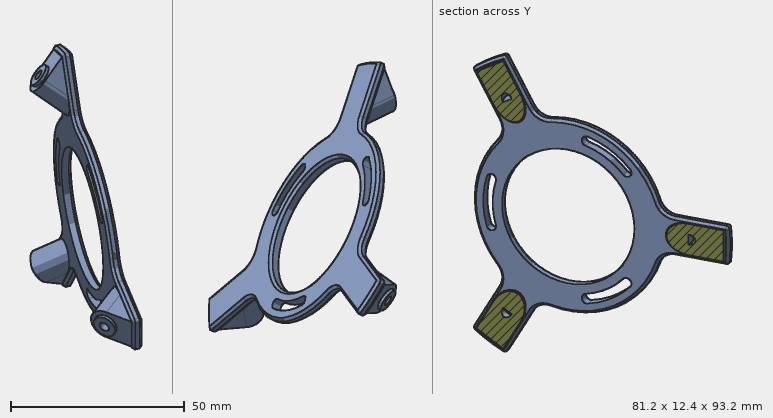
import cadquery as cq
import math

plate_thickness = 3.0
ring_radius = 30.0
bore_radius = 21.0
edge_chamfer = 0.8

arm_count = 3
arm_pitch = 360 / arm_count
overall_length = 93.2
arm_width = 12.0
arm_corner_radius = 0.9
neck_radius = 5.6

corner_centre_z = arm_width / 2 - arm_corner_radius
corner_centre_x = (
    overall_length / 2 - arm_corner_radius + corner_centre_z * math.cos(math.radians(arm_pitch))
) / math.sin(math.radians(arm_pitch))
arm_reach = math.hypot(corner_centre_x, corner_centre_z) + arm_corner_radius

slot_radius = 25.4
slot_width = 3.0
slot_half_angle = 16.8

boss_tilt = 45
boss_diameter = 10.0
boss_toe = 49.75
boss_depth = 12.4
collar_diameter = 7.0
collar_height = 1.0
hole_diameter = 3.0
hole_depth = 8.9

end_face_length = (boss_depth - plate_thickness) / math.sin(math.radians(boss_tilt))
axis_from_toe = end_face_length - boss_diameter / 2
post_length = end_face_length * math.tan(math.radians(boss_tilt))


def turned(shape, angle):
    """The shape turned about the ring axis, from +X towards +Z."""
    return shape.rotate((0, 0, 0), (0, -1, 0), angle)


def polar(radius, angle):
    """Point at a radius and an angle in degrees in the plane of the ring."""
    return (radius * math.cos(math.radians(angle)), radius * math.sin(math.radians(angle)))


def arm():
    """Arm along +X with an end concentric with the ring and a root flared by concave arcs."""
    half_width = arm_width / 2
    centre_height = half_width + neck_radius
    centre_distance = ring_radius + neck_radius
    arm_side_x = math.sqrt(arm_reach**2 - half_width**2)
    neck_x = math.sqrt(centre_distance**2 - centre_height**2)
    neck_angle = math.degrees(math.asin(centre_height / centre_distance))
    ring_x, ring_z = polar(ring_radius, neck_angle)
    mid_angle = (neck_angle + 90) / 2
    mid_x = neck_x - neck_radius * math.cos(math.radians(mid_angle))
    mid_z = centre_height - neck_radius * math.sin(math.radians(mid_angle))
    return (
        cq.Workplane("XZ")
        .moveTo(ring_x, -ring_z)
        .threePointArc((mid_x, -mid_z), (neck_x, -half_width))
        .lineTo(arm_side_x, -half_width)
        .threePointArc((arm_reach, 0), (arm_side_x, half_width))
        .lineTo(neck_x, half_width)
        .threePointArc((mid_x, mid_z), (ring_x, ring_z))
        .lineTo(0, 0)
        .close()
        .extrude(plate_thickness)
        .edges("|Y")
        .edges(">X")
        .fillet(arm_corner_radius)
    )


def plate():
    """Ring and arms with chamfered outer edges, and a central bore chamfered at the rear."""
    body = cq.Workplane("XZ").circle(ring_radius).extrude(plate_thickness)
    for index in range(arm_count):
        body = body.union(turned(arm(), index * arm_pitch))
    body = body.faces("<Y or >Y").edges().chamfer(edge_chamfer)
    bore = cq.Workplane("XZ").circle(bore_radius).extrude(plate_thickness)
    bore_rim = (
        cq.Workplane("XZ")
        .circle(bore_radius + edge_chamfer)
        .workplane(offset=edge_chamfer)
        .circle(bore_radius)
        .loft()
    )
    return body.cut(bore).cut(bore_rim)


def slot_tip(angle):
    """Extreme point of the round slot end that is centred at the angle."""
    x, z = polar(slot_radius, angle)
    tip_x, tip_z = polar(slot_width / 2, angle + math.copysign(90, angle))
    return (x + tip_x, z + tip_z)


def curved_slot():
    """Round-ended slot following the ring, centred on +X."""
    inner = slot_radius - slot_width / 2
    outer = slot_radius + slot_width / 2
    return (
        cq.Workplane("XZ")
        .moveTo(*polar(inner, -slot_half_angle))
        .threePointArc((inner, 0), polar(inner, slot_half_angle))
        .threePointArc(slot_tip(slot_half_angle), polar(outer, slot_half_angle))
        .threePointArc((outer, 0), polar(outer, -slot_half_angle))
        .threePointArc(slot_tip(-slot_half_angle), polar(inner, -slot_half_angle))
        .close()
        .extrude(plate_thickness)
    )


def end_face():
    """Workplane on the boss end face: origin at the toe, local +X up the slope, normal outwards."""
    tilt = math.radians(boss_tilt)
    return cq.Workplane(
        cq.Plane(
            origin=(boss_toe, -plate_thickness, 0),
            xDir=(-math.cos(tilt), -math.sin(tilt), 0),
            normal=(math.sin(tilt), -math.cos(tilt), 0),
        )
    )


def boss():
    """Post, gusset and collar for the arm along +X, ending on the front of the plate."""
    on_axis = end_face().center(axis_from_toe, 0)
    post = on_axis.circle(boss_diameter / 2).extrude(-post_length)
    gusset = (
        end_face()
        .center(axis_from_toe / 2, 0)
        .rect(axis_from_toe, boss_diameter)
        .extrude(-post_length)
    )
    front_space = (
        cq.Workplane("XZ", origin=(0, -plate_thickness, 0))
        .rect(2 * arm_reach, arm_width)
        .extrude(boss_depth)
    )
    collar = on_axis.circle(collar_diameter / 2).extrude(collar_height)
    return post.union(gusset).intersect(front_space).union(collar)


def boss_hole():
    """Blind hole down the boss axis from the top of the collar."""
    return (
        end_face()
        .workplane(offset=collar_height)
        .center(axis_from_toe, 0)
        .circle(hole_diameter / 2)
        .extrude(-hole_depth)
    )


result = plate()
for index in range(arm_count):
    arm_angle = index * arm_pitch
    result = result.union(turned(boss(), arm_angle))
    result = result.cut(turned(boss_hole(), arm_angle))
    result = result.cut(turned(curved_slot(), arm_angle + arm_pitch / 2))